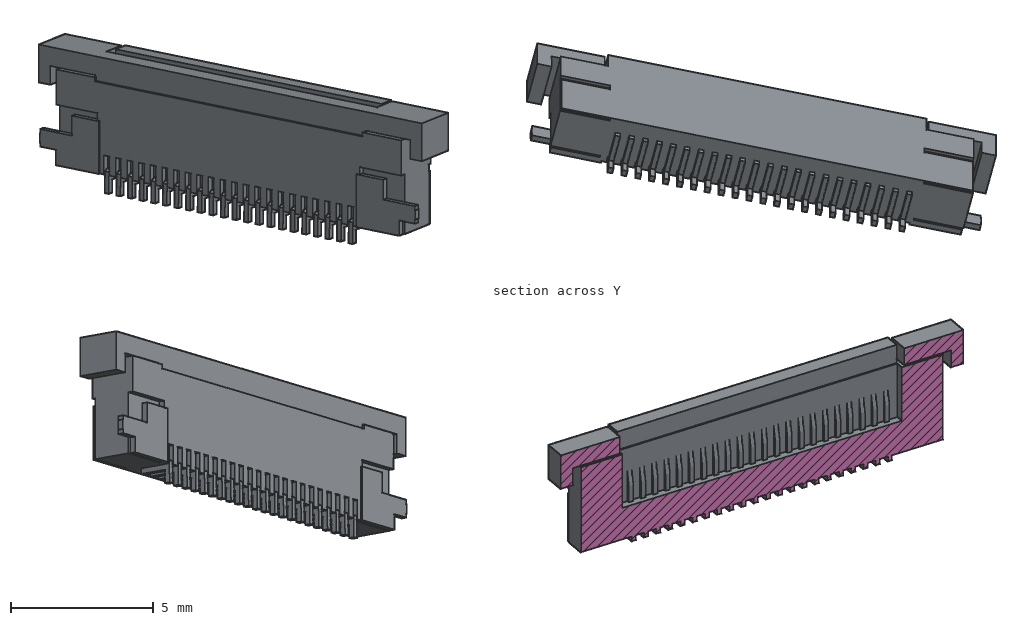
import cadquery as cq


length = 16.5
depth = 1.86
height = 4.9
half_length = length / 2
back = depth / 2
front = -depth / 2

housing_half = 7.42
housing_front = front + 0.07
housing_bottom = 0.68
housing_top = 4.15
tongue_half = 5.73
tongue_thickness = 0.6

ledge_notch_half = 5.76
ledge_notch_bottom = 4.01

cap_back = back - 0.1
cap_front = front + 0.16
cap_underside = 4.2
cap_window_half = 5.82
cap_window_front = back - 1.0
lug_inner_half = 7.74
lug_bottom = 3.51

cable_slot_floor = 1.98
cable_slot_lip = 0.05
contact_tip_height = 1.48
contact_front_height = 0.66
contact_thickness = 0.15

contact_count = 22
contact_row_length = 10.5
contact_pitch = contact_row_length / (contact_count - 1)
contact_width = 0.18
lead_thickness = 0.21
lead_bend = 0.8
lead_top = 0.89
lead_lean = 0.02
foot_back = back - 0.55
foot_thickness = 0.2
lead_groove_width = 0.23
lead_groove_top = 1.37

recess_half = 5.65
recess_top = 2.87
front_recess_depth = 0.21
back_recess_depth = 0.12
tab_inner_half = 5.55
tab_step_half = 6.7
tab_outer_half = 7.4
tab_top = 2.6
tab_thickness = 0.21
back_tab_thickness = 0.07
arm_end_half = 8.07
arm_top = 1.88
arm_bottom = 1.24
nib_length = 0.02
nib_height = 0.35


def block(x0, x1, y0, y1, z0, z1):
    """Box spanning the given limits."""
    return cq.Workplane("XY").box(x1 - x0, y1 - y0, z1 - z0, centered=False).translate((x0, y0, z0))


def centred_block(half, y0, y1, z0, z1):
    """Box symmetric about X = 0."""
    return block(-half, half, y0, y1, z0, z1)


def both_ends(shape):
    """The shape at the +X end together with its mirror image at the -X end."""
    return shape.union(shape.mirror("YZ"))


def make_housing():
    body = centred_block(housing_half, housing_front, back, housing_bottom, housing_top)
    notch = centred_block(ledge_notch_half, housing_front, cap_front, ledge_notch_bottom, housing_top)
    tongue = centred_block(tongue_half, back - tongue_thickness, back, housing_top, height)
    front_recess_floor = housing_front + front_recess_depth
    front_recess = block(
        recess_half, housing_half, housing_front, front_recess_floor, housing_bottom, recess_top
    )
    back_recess = block(recess_half, housing_half, back - back_recess_depth, back, housing_bottom, recess_top)
    return body.cut(notch).union(tongue).cut(both_ends(front_recess)).cut(both_ends(back_recess))


def make_cap():
    bar = centred_block(half_length, cap_front, cap_back, cap_underside, height)
    window = centred_block(cap_window_half, cap_window_front, cap_back, cap_underside, height)
    skirt = centred_block(cap_window_half, cap_front, cap_window_front, ledge_notch_bottom, cap_underside)
    lug = block(lug_inner_half, half_length, cap_front, cap_back, lug_bottom, cap_underside)
    return bar.cut(window).union(skirt).union(both_ends(lug))


def make_cable_slot():
    """Slot in front of the tongue; a shallow lip stands under the tongue at housing level."""
    slot_back = back - tongue_thickness
    upper = centred_block(tongue_half, cap_window_front, slot_back, housing_top, height)
    lower = centred_block(
        tongue_half, cap_window_front, slot_back - cable_slot_lip, cable_slot_floor, housing_top
    )
    return upper.union(lower)


def make_solder_tab():
    """Front plate with a sideways arm and the flat plate behind the housing, at the +X end."""
    nib_middle = (arm_top + arm_bottom) / 2
    tab_back = front + tab_thickness
    outline = [
        (tab_inner_half, housing_bottom),
        (tab_outer_half, housing_bottom),
        (tab_outer_half, arm_bottom),
        (arm_end_half, arm_bottom),
        (arm_end_half, arm_top),
        (tab_step_half, arm_top),
        (tab_step_half, tab_top),
        (tab_inner_half, tab_top),
    ]
    plate = cq.Workplane("XZ", origin=(0, front, 0)).polyline(outline).close().extrude(-tab_thickness)
    nib = block(
        arm_end_half,
        arm_end_half + nib_length,
        front,
        tab_back,
        nib_middle - nib_height / 2,
        nib_middle + nib_height / 2,
    )
    back_plate = block(
        tab_inner_half, tab_outer_half, back - back_tab_thickness, back, housing_bottom, tab_top
    )
    return plate.union(nib).union(back_plate)


def contact_profile(x, points):
    """Side outline of (Y, Z) points given the contact width, centred on x."""
    start = x - contact_width / 2
    return cq.Workplane("YZ", origin=(start, 0, 0)).polyline(points).close().extrude(contact_width)


def make_contact(x):
    """L-shaped lead and foot with a bevelled lead top, plus the sloped strip standing in the cable slot."""
    lead_back = housing_front + lead_thickness
    lead_front = housing_front + lead_lean
    strip_back = back - tongue_thickness
    strip_front = strip_back - contact_thickness
    lead_outline = [
        (housing_front, 0),
        (lead_back, 0),
        (lead_back, housing_bottom - foot_thickness),
        (foot_back, housing_bottom - foot_thickness),
        (foot_back, housing_bottom),
        (lead_back, housing_bottom),
        (lead_back, lead_top),
        (lead_front, lead_bend),
    ]
    strip_outline = [
        (strip_back, cable_slot_floor),
        (strip_back, cable_slot_floor + contact_tip_height),
        (strip_front, cable_slot_floor + contact_front_height),
        (strip_front, cable_slot_floor),
    ]
    return contact_profile(x, lead_outline).union(contact_profile(x, strip_outline))


def make_lead_groove(x):
    """Groove in the housing front that a lead sits in."""
    return block(
        x - lead_groove_width / 2,
        x + lead_groove_width / 2,
        housing_front,
        housing_front + lead_thickness,
        housing_bottom,
        lead_groove_top,
    )


contact_places = [i * contact_pitch - contact_row_length / 2 for i in range(contact_count)]

result = make_housing().union(make_cap()).cut(make_cable_slot())
for place in contact_places:
    result = result.cut(make_lead_groove(place))
for place in contact_places:
    result = result.union(make_contact(place))
result = result.union(both_ends(make_solder_tab()))